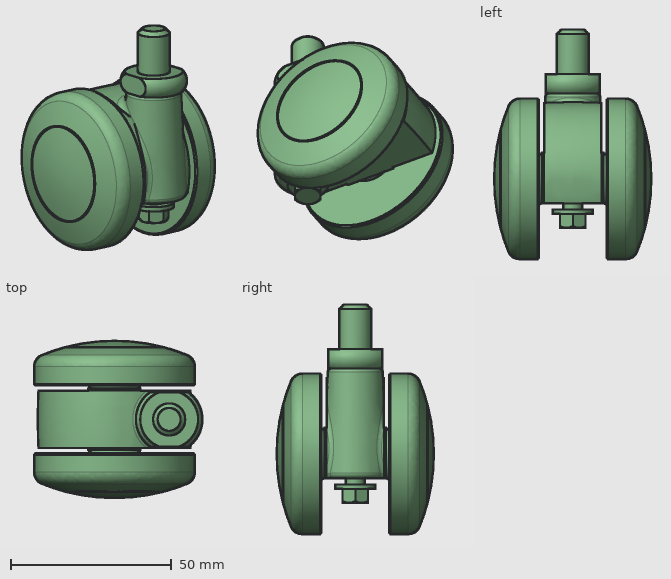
import cadquery as cq
import math


wheel_radius = 25.0
wheel_inner_face = 10.5
overall_width = 49.0
wheel_outer_face = overall_width / 2
dome_radius = 59.35
tread_round = 3.9
inner_edge_chamfer = 0.5
cap_groove_radius = 15.15
cap_groove_width = 0.2
cap_groove_depth = 0.2
hub_radius = 7.95

drum_radius = 23.9
drum_crown = 0.2
drum_half_width = 8.95
pad_half_size = 8.15
pad_face = 9.6
housing_bottom = -7.6
tower_top = 26.6
tower_top_radius = 8.5
tower_bottom_radius = 10.4
tower_top_round = 1.15
tower_bottom_round = 1.5
tower_root_round = 2.2

stem_x = 17.0
stem_radius = 5.0
stem_top = 46.5
stem_chamfer = 1.4
collar_height = 6.0
collar_mid_radius = 10.4
collar_end_radius = 9.0
collar_flat_distance = 8.45
shank_radius = 3.0
washer_top = -9.45
washer_thickness = 1.4
washer_radius = 6.3
hex_across_flats = 8.0
hex_bottom = -15.2
hex_chamfer = 0.6


def stem_plane(z):
    """Horizontal workplane centred on the stem axis."""
    return cq.Workplane("XY", origin=(stem_x, 0, z))


def make_wheel(side):
    """Domed wheel with its hub; side is +1 or -1 along Y."""

    def dome_height(radius):
        return wheel_outer_face - dome_radius + math.sqrt(dome_radius**2 - radius**2)

    hub_length = wheel_inner_face - pad_face

    disc = (
        cq.Workplane("XY")
        .moveTo(0, pad_face)
        .lineTo(hub_radius - hub_length, pad_face)
        .radiusArc((hub_radius, wheel_inner_face), -hub_length)
        .lineTo(wheel_radius - inner_edge_chamfer, wheel_inner_face)
        .lineTo(wheel_radius, wheel_inner_face + inner_edge_chamfer)
        .lineTo(wheel_radius, dome_height(wheel_radius))
        .threePointArc((wheel_radius / 2, dome_height(wheel_radius / 2)), (0, wheel_outer_face))
        .close()
        .revolve(360, (0, 0, 0), (0, 1, 0))
    )
    rim = cq.selectors.NearestToPointSelector((0, dome_height(wheel_radius), 0))
    disc = disc.edges(rim).fillet(tread_round)

    groove_floor = dome_height(cap_groove_radius) - cap_groove_depth
    groove = (
        cq.Workplane("XZ", origin=(0, groove_floor, 0))
        .circle(cap_groove_radius)
        .circle(cap_groove_radius - cap_groove_width)
        .extrude(-2 * cap_groove_depth)
    )
    wheel = disc.cut(groove)
    return wheel if side > 0 else wheel.mirror("XZ")


def block_above_bottom(width):
    """Block of the given width along Y, standing on the flat underside of the housing."""
    return cq.Workplane("XY", origin=(0, 0, housing_bottom)).box(
        3 * drum_radius, width, tower_top - housing_bottom, centered=(True, True, False))


def make_housing():
    """Crowned drum with wheel pads and a tapered tower bored for the stem."""
    blank_half_width = drum_half_width + tower_root_round
    blank_end_radius = drum_radius - drum_crown * (blank_half_width / drum_half_width) ** 2
    drum = (
        cq.Workplane("XY")
        .moveTo(0, -blank_half_width)
        .lineTo(blank_end_radius, -blank_half_width)
        .threePointArc((drum_radius, 0), (blank_end_radius, blank_half_width))
        .lineTo(0, blank_half_width)
        .close()
        .revolve(360, (0, 0, 0), (0, 1, 0))
    )
    tower = (
        stem_plane(housing_bottom)
        .circle(tower_bottom_radius)
        .workplane(offset=tower_top - housing_bottom)
        .circle(tower_top_radius)
        .loft()
    )
    body = drum.union(tower).intersect(block_above_bottom(2 * blank_half_width))
    body = body.edges("%BSPLINE").edges(">Z").fillet(tower_root_round)
    body = body.faces(">Z").edges().fillet(tower_top_round)
    body = body.faces("<Z").edges(">X").fillet(tower_bottom_round)
    body = body.intersect(block_above_bottom(2 * drum_half_width))

    pads = cq.Workplane("XY").box(2 * pad_half_size, 2 * pad_face, 2 * pad_half_size)
    body = body.union(pads.intersect(block_above_bottom(2 * pad_face)))
    bore = stem_plane(housing_bottom).circle(shank_radius).extrude(tower_top - housing_bottom)
    return body.cut(bore)


def make_stem():
    """Stem with wrench collar, shank through the housing, washer flange and hexagon."""
    collar_top = tower_top + collar_height
    stem = (
        stem_plane(collar_top).circle(stem_radius).extrude(stem_top - collar_top)
        .faces(">Z").chamfer(stem_chamfer)
    )
    collar = (
        cq.Workplane("XZ", origin=(stem_x, 0, 0))
        .moveTo(0, tower_top)
        .lineTo(collar_end_radius, tower_top)
        .threePointArc((collar_mid_radius, tower_top + collar_height / 2), (collar_end_radius, collar_top))
        .lineTo(0, collar_top)
        .close()
        .revolve(360, (0, 0, 0), (0, 1, 0))
    )
    flats = stem_plane(tower_top).box(
        3 * collar_mid_radius, 2 * collar_flat_distance, collar_height, centered=(True, True, False))
    collar = collar.intersect(flats)

    washer_bottom = washer_top - washer_thickness
    shank = stem_plane(washer_top).circle(shank_radius).extrude(tower_top - washer_top)
    washer = stem_plane(washer_bottom).circle(washer_radius).extrude(washer_thickness)
    hex_across_corners = hex_across_flats / math.cos(math.pi / 6)
    hex_height = washer_bottom - hex_bottom
    hexagon = stem_plane(hex_bottom).polygon(6, hex_across_corners).extrude(hex_height)
    hex_cone = (
        stem_plane(hex_bottom).circle(hex_across_corners / 2).extrude(hex_height)
        .faces("<Z").chamfer(hex_chamfer)
    )
    return stem.union(collar).union(shank).union(washer).union(hexagon.intersect(hex_cone))


wheels = [make_wheel(side) for side in (-1, 1)]
housing = make_housing()
stem = make_stem()

result = cq.Compound.makeCompound([*[wheel.val() for wheel in wheels], housing.val(), stem.val()])